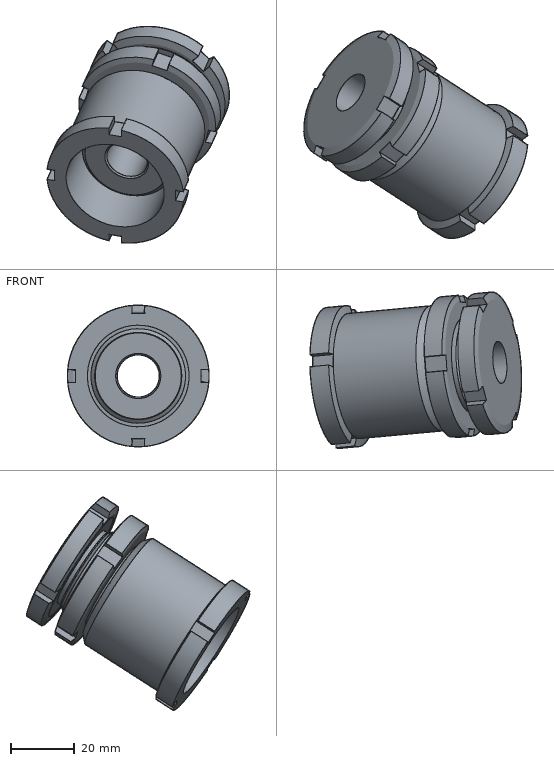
import cadquery as cq
import math


TOTAL_LENGTH = 55.95
RIM_RADIUS = 22.5
RIM_CHAMFER_ANGLE = 15.0
SLOTS_PER_RIM = 4
RING_SLOT_WIDTH = 5.0
SLOT_FLOOR_RADIUS = 19.85
THREAD_RADIUS = 15.0
RUNOUT_RADIUS = 13.8
RUNOUT_LENGTH = 1.05
NECK_RADIUS = 13.65
NECK_TAPER_LENGTH = 0.45

HOUSING_LENGTH = 37.0
HOUSING_RADIUS = 19.95
HOUSING_END_CHAMFER = 2.1
HOUSING_BORE_RADIUS = 16.1
HOUSING_BORE_DEPTH = 20.15
FLANGE_THICKNESS = 7.0
FLANGE_SLOT_WIDTH = 4.0

NUT_START = 38.0
NUT_THICKNESS = 7.05
NUT_CHAMFER_HEIGHT = 0.5
NUT_SLOT_FLOOR_RADIUS = 20.2
NUT_SLOT_ANGLE = 12.0

HEAD_THICKNESS = 6.75
HEAD_CHAMFER_HEIGHT = 0.65
HEAD_RECESS_RADIUS = 18.8
HEAD_RECESS_DEPTH = 0.3
HEAD_SLOT_ANGLE = 44.0

STUD_START = 13.8
THREAD_END = 46.55
STUD_HOLE_RADIUS = 6.65
HOLE_CHAMFER = 0.5

TIP_TAPER_END = STUD_START + NECK_TAPER_LENGTH
THREAD_START = TIP_TAPER_END + RUNOUT_LENGTH
RUNOUT_END = THREAD_END + RUNOUT_LENGTH
HEAD_START = TOTAL_LENGTH - HEAD_THICKNESS
NUT_END = NUT_START + NUT_THICKNESS


def chamfer_depth(height):
    """Radial depth of a rim chamfer with the given axial height."""
    return height / math.tan(math.radians(RIM_CHAMFER_ANGLE))


def chamfer_height(depth):
    """Axial height of a rim chamfer with the given radial depth."""
    return depth * math.tan(math.radians(RIM_CHAMFER_ANGLE))


def turned(outline):
    """Revolve an outline of (radius, y) points about the Y axis."""
    return cq.Workplane("XY").polyline(outline).close().revolve(360, (0, 0, 0), (0, 1, 0))


def rim_slots(start, thickness, width, floor_radius, first_angle):
    """Evenly spaced spanner slots cut across a rim, the first one turned from +Z toward +X."""
    cutter = cq.Workplane("XY").box(width, thickness, RIM_RADIUS, centered=(True, False, False))
    cutter = cutter.translate((0, start, floor_radius))
    slots = cq.Workplane("XY")
    for index in range(SLOTS_PER_RIM):
        slots = slots.add(cutter.rotate((0, 0, 0), (0, 1, 0), first_angle + 360 / SLOTS_PER_RIM * index))
    return slots.combine()


def make_housing():
    """Flanged sleeve with a wide front bore and a threaded hole for the stud."""
    flange_chamfer_start = FLANGE_THICKNESS - chamfer_height(RIM_RADIUS - HOUSING_RADIUS)
    body = turned([
        (HOUSING_BORE_RADIUS, 0),
        (RIM_RADIUS, 0),
        (RIM_RADIUS, flange_chamfer_start),
        (HOUSING_RADIUS, FLANGE_THICKNESS),
        (HOUSING_RADIUS, HOUSING_LENGTH - HOUSING_END_CHAMFER),
        (HOUSING_RADIUS - HOUSING_END_CHAMFER, HOUSING_LENGTH),
        (THREAD_RADIUS, HOUSING_LENGTH),
        (THREAD_RADIUS, HOUSING_BORE_DEPTH),
        (HOUSING_BORE_RADIUS, HOUSING_BORE_DEPTH),
    ])
    return body.cut(rim_slots(0, FLANGE_THICKNESS, FLANGE_SLOT_WIDTH, SLOT_FLOOR_RADIUS, 0))


def make_lock_nut():
    """Slotted ring nut with both rim edges chamfered."""
    face_radius = RIM_RADIUS - chamfer_depth(NUT_CHAMFER_HEIGHT)
    ring = turned([
        (THREAD_RADIUS, NUT_START),
        (face_radius, NUT_START),
        (RIM_RADIUS, NUT_START + NUT_CHAMFER_HEIGHT),
        (RIM_RADIUS, NUT_END - NUT_CHAMFER_HEIGHT),
        (face_radius, NUT_END),
        (THREAD_RADIUS, NUT_END),
    ])
    slots = rim_slots(NUT_START, NUT_THICKNESS, RING_SLOT_WIDTH, NUT_SLOT_FLOOR_RADIUS, NUT_SLOT_ANGLE)
    return ring.cut(slots)


def make_stud():
    """Hollow threaded stud with a slotted head, shallowly recessed around the neck."""
    face_radius = RIM_RADIUS - chamfer_depth(HEAD_CHAMFER_HEIGHT)
    body = turned([
        (STUD_HOLE_RADIUS + HOLE_CHAMFER, STUD_START),
        (NECK_RADIUS, STUD_START),
        (RUNOUT_RADIUS, TIP_TAPER_END),
        (THREAD_RADIUS, THREAD_START),
        (THREAD_RADIUS, THREAD_END),
        (RUNOUT_RADIUS, RUNOUT_END),
        (NECK_RADIUS, RUNOUT_END + NECK_TAPER_LENGTH),
        (NECK_RADIUS, HEAD_START + HEAD_RECESS_DEPTH),
        (HEAD_RECESS_RADIUS, HEAD_START + HEAD_RECESS_DEPTH),
        (HEAD_RECESS_RADIUS, HEAD_START),
        (face_radius, HEAD_START),
        (RIM_RADIUS, HEAD_START + HEAD_CHAMFER_HEIGHT),
        (RIM_RADIUS, TOTAL_LENGTH - HEAD_CHAMFER_HEIGHT),
        (face_radius, TOTAL_LENGTH),
        (STUD_HOLE_RADIUS, TOTAL_LENGTH),
        (STUD_HOLE_RADIUS, STUD_START + HOLE_CHAMFER),
    ])
    slots = rim_slots(HEAD_START, HEAD_THICKNESS, RING_SLOT_WIDTH, SLOT_FLOOR_RADIUS, HEAD_SLOT_ANGLE)
    return body.cut(slots)


housing = make_housing()
lock_nut = make_lock_nut()
stud = make_stud()
result = cq.Compound.makeCompound([housing.val(), lock_nut.val(), stud.val()])